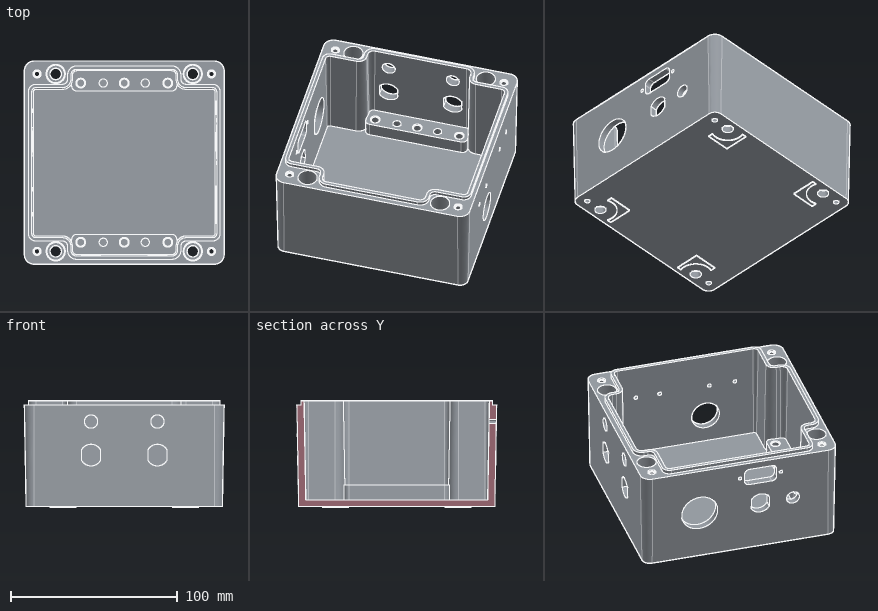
import cadquery as cq

SIGNS = (-1, 1)

DRAFT = 1.0
RIM_LENGTH = 120.0
RIM_WIDTH = 122.0
BODY_HEIGHT = 61.0
CORNER_RADIUS = 6.0

LIP_HEIGHT = 2.5
LIP_TOP = BODY_HEIGHT + LIP_HEIGHT
LIP_THICKNESS = 2.0
LIP_HALF_LENGTH = 57.5
LIP_HALF_WIDTH = 58.0
LIP_CORNER_RADIUS = 4.5
LIP_END_RADIUS = 5.5
NOTCH_X = 34.0
NOTCH_Y = 47.0
NOTCH_RADIUS = 3.0

FLOOR_Z = 4.0
BENCH_TOP = 13.0
BENCH_HALF_LENGTH = 31.5
BENCH_INNER_Y = 43.0
BENCH_CORNER_RADIUS = 3.0
BENCH_HOLE_Y = 47.75
BENCH_HOLE_DEPTH = 8.0
SCREW_HOLE_X = (-26.1, 0.0, 26.1)
SCREW_HOLE_DIAMETER = 4.8
SCREW_HOLE_MOUTH = 5.8
SCREW_MOUTH_ANGLE = 45.0
SCREW_MOUTH_DEPTH = (SCREW_HOLE_MOUTH - SCREW_HOLE_DIAMETER) / 2
PIN_HOLE_X = (-12.6, 12.6)
PIN_HOLE_DIAMETER = 4.92

CORNER_HOLE_Y = 53.2
MOUNT_X = 41.1
MOUNT_DIAMETER = 6.7
MOUNT_BORE_DIAMETER = 11.5
MOUNT_BORE_DRAFT = 0.5
MOUNT_SEAT_Z = 5.0
LID_HOLE_X = 52.3
LID_HOLE_DIAMETER = 3.24
LID_HOLE_MOUTH = 4.8
LID_MOUTH_DEPTH = 1.0

FOOT_HEIGHT = 0.6
FOOT_SIZE = 15.8
FOOT_X = 36.7
FOOT_Y = 48.5
FOOT_RELIEF_RADIUS = 10.0

WALL_CUT = 10.0
UPPER_ROW_Z = BODY_HEIGHT - 10.0
LOWER_ROW_Z = BODY_HEIGHT - 30.1
PORT_DIAMETER = 8.0
FLATTED_DIAMETER = 13.0
FLATTED_WIDTH = 11.2
FRONT_PORT_X = (-19.9, 19.9)
CONNECTOR_Y = 12.6
CONNECTOR_LENGTH = 20.0
CONNECTOR_HEIGHT = 11.0
CONNECTOR_RADIUS = 3.0
CONNECTOR_SCREW_SPACING = 25.6
CONNECTOR_SCREW_DIAMETER = 2.0
SIDE_PORT_Y = 33.0
SIDE_FLATTED_Y = 12.6
PLUG_DIAMETER = 22.5
PLUG_Y = -25.4
CABLE_DIAMETER = 17.25
CABLE_Y = 12.6
CABLE_Z = BODY_HEIGHT - 39.2
SMALL_HOLE_DIAMETER = 2.21
SMALL_HOLE_Y = (31.1, 15.1, -16.0, -30.9)
SMALL_HOLE_Z = BODY_HEIGHT - 18.5


def four_corners(x, y):
    """The point (x, y) mirrored into all four quadrants."""
    return [(sx * x, sy * y) for sx in SIGNS for sy in SIGNS]


def cross_prism(inset, top, bottom, draft=0.0):
    """Cross-shaped prism, offset inward from the lip outline and narrowing downward."""
    half_x = LIP_HALF_LENGTH - inset
    half_y = LIP_HALF_WIDTH - inset
    notch_x = NOTCH_X - inset
    notch_y = NOTCH_Y - inset
    corner = LIP_CORNER_RADIUS - inset
    end = LIP_END_RADIUS - inset
    concave = NOTCH_RADIUS + inset
    quarter = (
        cq.Workplane("XY", origin=(0, 0, top))
        .moveTo(0, half_y)
        .lineTo(notch_x - end, half_y)
        .radiusArc((notch_x, half_y - end), end)
        .lineTo(notch_x, notch_y + concave)
        .radiusArc((notch_x + concave, notch_y), -concave)
        .lineTo(half_x - corner, notch_y)
        .radiusArc((half_x, notch_y - corner), corner)
        .lineTo(half_x, 0)
    )
    return quarter.mirrorX().mirrorY().extrude(bottom - top, taper=draft)


def vertical_holes(points, diameter, top, depth, draft=0.0):
    """Round cutters reaching down from a given height, optionally narrowing downward."""
    plane = cq.Workplane("XY", origin=(0, 0, top))
    return plane.pushPoints(points).circle(diameter / 2).extrude(-depth, taper=draft)


def make_body():
    """Solid drafted block with rounded corners, topped by the filled lip outline."""
    outline = cq.Sketch().rect(RIM_LENGTH, RIM_WIDTH).vertices().fillet(CORNER_RADIUS)
    rim_plane = cq.Workplane("XY", origin=(0, 0, BODY_HEIGHT))
    block = rim_plane.placeSketch(outline).extrude(-BODY_HEIGHT, taper=DRAFT)
    return block.union(cross_prism(0, LIP_TOP, BODY_HEIGHT))


def make_bench(side):
    """Raised pad at one Y end of the cavity, with chamfered screw holes and plain pin holes."""
    depth = LIP_HALF_WIDTH - BENCH_INNER_Y
    center_y = side * (LIP_HALF_WIDTH + BENCH_INNER_Y) / 2
    inner_edges = "|Z and <Y" if side > 0 else "|Z and >Y"
    pad = (
        cq.Workplane("XY", origin=(0, center_y, 0))
        .rect(2 * BENCH_HALF_LENGTH, depth)
        .extrude(BENCH_TOP)
        .edges(inner_edges)
        .fillet(BENCH_CORNER_RADIUS)
    )
    hole_y = side * BENCH_HOLE_Y
    screw_points = [(x, hole_y) for x in SCREW_HOLE_X]
    pin_points = [(x, hole_y) for x in PIN_HOLE_X]
    screw_holes = vertical_holes(screw_points, SCREW_HOLE_DIAMETER, BENCH_TOP, BENCH_HOLE_DEPTH)
    mouth_chamfers = vertical_holes(
        screw_points, SCREW_HOLE_MOUTH, BENCH_TOP, SCREW_MOUTH_DEPTH, SCREW_MOUTH_ANGLE
    )
    pin_holes = vertical_holes(pin_points, PIN_HOLE_DIAMETER, BENCH_TOP, BENCH_HOLE_DEPTH)
    return pad.cut(screw_holes).cut(mouth_chamfers).cut(pin_holes)


def make_interior():
    """The hollow of the box: the drafted cavity less the two benches."""
    cavity = cross_prism(LIP_THICKNESS, LIP_TOP, FLOOR_Z, DRAFT)
    for side in SIGNS:
        cavity = cavity.cut(make_bench(side))
    return cavity


def make_feet():
    """Four pads under the floor, each with a round relief centred on its mounting hole."""
    pads = (
        cq.Workplane("XY")
        .pushPoints(four_corners(FOOT_X, FOOT_Y))
        .rect(FOOT_SIZE, FOOT_SIZE)
        .extrude(-FOOT_HEIGHT)
    )
    reliefs = vertical_holes(four_corners(MOUNT_X, CORNER_HOLE_Y), 2 * FOOT_RELIEF_RADIUS, 0, FOOT_HEIGHT)
    return pads.cut(reliefs)


def make_corner_holes():
    """Mounting holes with deep tapered bores, and stepped lid-screw holes, all through the corners."""
    mounts = four_corners(MOUNT_X, CORNER_HOLE_Y)
    lid_screws = four_corners(LID_HOLE_X, CORNER_HOLE_Y)
    bore_depth = BODY_HEIGHT - MOUNT_SEAT_Z
    return (
        vertical_holes(mounts, MOUNT_DIAMETER, BODY_HEIGHT, BODY_HEIGHT)
        .union(vertical_holes(mounts, MOUNT_BORE_DIAMETER, BODY_HEIGHT, bore_depth, MOUNT_BORE_DRAFT))
        .union(vertical_holes(lid_screws, LID_HOLE_DIAMETER, BODY_HEIGHT, BODY_HEIGHT))
        .union(vertical_holes(lid_screws, LID_HOLE_MOUTH, BODY_HEIGHT, LID_MOUTH_DEPTH))
    )


def flatted_holes(plane, points):
    """Round cutters with two flat vertical sides."""
    rounds = plane.pushPoints(points).circle(FLATTED_DIAMETER / 2).extrude(-WALL_CUT)
    strips = plane.pushPoints(points).rect(FLATTED_WIDTH, FLATTED_DIAMETER).extrude(-WALL_CUT)
    return rounds.intersect(strips)


def round_holes(plane, points, diameter):
    """Round cutters through one wall."""
    return plane.pushPoints(points).circle(diameter / 2).extrude(-WALL_CUT)


def make_front_openings():
    """-Y wall: two round ports above two flatted ports."""
    plane = cq.Workplane("XZ", origin=(0, -RIM_WIDTH / 2, 0))
    ports = round_holes(plane, [(x, UPPER_ROW_Z) for x in FRONT_PORT_X], PORT_DIAMETER)
    return ports.union(flatted_holes(plane, [(x, LOWER_ROW_Z) for x in FRONT_PORT_X]))


def make_cable_side_openings():
    """-X wall: one cable entry below a row of four small holes."""
    plane = cq.Workplane(cq.Plane(origin=(-RIM_LENGTH / 2, 0, 0), xDir=(0, -1, 0), normal=(-1, 0, 0)))
    cable_entry = round_holes(plane, [(-CABLE_Y, CABLE_Z)], CABLE_DIAMETER)
    small_points = [(-y, SMALL_HOLE_Z) for y in SMALL_HOLE_Y]
    return cable_entry.union(round_holes(plane, small_points, SMALL_HOLE_DIAMETER))


def make_connector_side_openings():
    """+X wall: a connector slot with two screw holes, a round port, a flatted port and a plug hole."""
    plane = cq.Workplane("YZ", origin=(RIM_LENGTH / 2, 0, 0))
    slot = (
        plane.center(CONNECTOR_Y, UPPER_ROW_Z)
        .rect(CONNECTOR_LENGTH, CONNECTOR_HEIGHT)
        .extrude(-WALL_CUT)
        .edges("|X")
        .fillet(CONNECTOR_RADIUS)
    )
    screw_points = [(CONNECTOR_Y + side * CONNECTOR_SCREW_SPACING / 2, UPPER_ROW_Z) for side in SIGNS]
    screws = round_holes(plane, screw_points, CONNECTOR_SCREW_DIAMETER)
    port = round_holes(plane, [(SIDE_PORT_Y, LOWER_ROW_Z)], PORT_DIAMETER)
    flatted = flatted_holes(plane, [(SIDE_FLATTED_Y, LOWER_ROW_Z)])
    plug = round_holes(plane, [(PLUG_Y, LOWER_ROW_Z)], PLUG_DIAMETER)
    return slot.union(screws).union(port).union(flatted).union(plug)


result = (
    make_body()
    .cut(make_interior())
    .union(make_feet())
    .cut(make_corner_holes())
    .cut(make_front_openings())
    .cut(make_cable_side_openings())
    .cut(make_connector_side_openings())
)